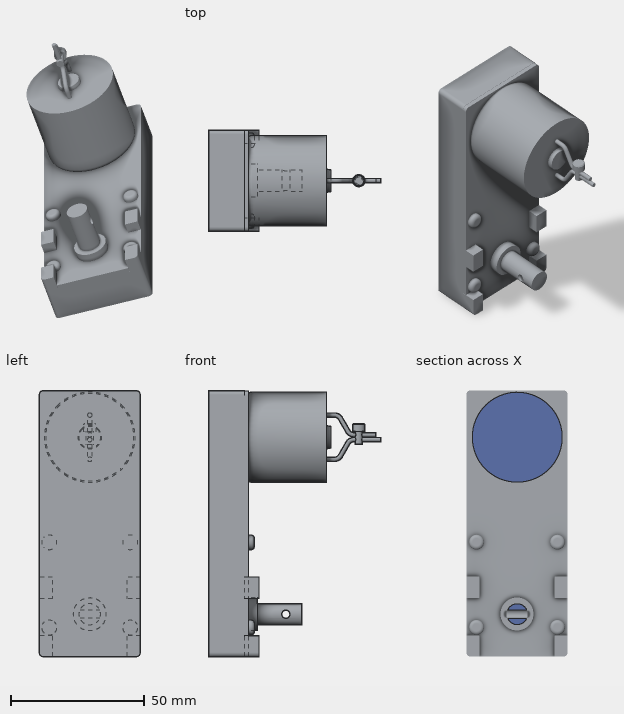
import cadquery as cq
import math

height = 100.0
width = 38.0
body_depth = 13.4
lid_thickness = 1.6
corner_radius = 1.6
lid_top_step = 0.1
lid_face = body_depth + lid_thickness

tab_reach = 19.0
tab_height = 8.0
tab_width = 5.0
tab_bottoms = (0.0, 22.0)
notch_gap = 0.05

screw_radius = 2.8
screw_rim = 0.9
screw_rounding = 1.3
screw_y = 15.2
screw_heights = (11.0, 43.0)

shaft_z = 16.0
shaft_radius = 4.0
shaft_end = 35.0
collar_radius = 6.2
collar_end = 18.3
cross_hole_radius = 1.5
cross_hole_x = 29.0

motor_z = 82.5
motor_radius = 17.0
motor_rounding = 2.0
motor_straight_start = 16.3
motor_end = 44.3
boss_base_radius = 4.4
boss_tip_radius = 4.1
boss_length = 1.7

wire_radius = 0.85
wire_offset = 8.3
wire_pair_offset = 0.9
wire_first_bend_x = 47.3
wire_bend_radius = 2.6
wire_slope = math.radians(60)
upper_wire_end = 62.8
lower_wire_end = 64.7

clip_x = 56.4
clip_radius = 1.4
clip_bottom = 79.8
clip_head_radius = 2.3
clip_head_bottom = 84.7
clip_head_top = 87.7
clip_head_chamfer = 0.4


def x_cylinder(radius, start, end, y, z):
    """Cylinder along X between two X positions."""
    return cq.Workplane("YZ", origin=(start, y, z)).circle(radius).extrude(end - start)


def rounded_block(start, end, top):
    """Full-width block with its four X-parallel edges rounded."""
    block = cq.Workplane("XY").box(end - start, width, top, centered=(False, True, False))
    return block.edges("|X").fillet(corner_radius).translate((start, 0, 0))


def make_tab(side, bottom, gap=0.0):
    """Tab at one side wall; a gap widens it into the notch around it."""
    tab = cq.Workplane("XY").box(
        tab_reach - body_depth, tab_width + gap, tab_height + 2 * gap, centered=(False, True, False)
    )
    center_y = side * (width - tab_width - gap) / 2
    return tab.translate((body_depth, center_y, bottom - gap))


def make_housing():
    body = rounded_block(0, body_depth, height)
    lid = rounded_block(body_depth, lid_face, height - lid_top_step)
    tabs = cq.Workplane("XY")
    for side in (-1, 1):
        for bottom in tab_bottoms:
            lid = lid.cut(make_tab(side, bottom, notch_gap))
            tabs = tabs.add(make_tab(side, bottom))
    outline = rounded_block(0, tab_reach, height)
    return body.union(lid).union(tabs.combine().intersect(outline))


def make_screw(y, z):
    """Screw head: a short straight rim with a rounded top edge."""
    head_top = lid_face + screw_rim + screw_rounding
    head = x_cylinder(screw_radius, lid_face, head_top, y, z)
    return head.faces(">X").edges().fillet(screw_rounding)


def make_shaft():
    collar = x_cylinder(collar_radius, lid_face, collar_end, 0, shaft_z)
    shaft = x_cylinder(shaft_radius, lid_face, shaft_end, 0, shaft_z)
    cross_hole = (
        cq.Workplane("XZ", origin=(cross_hole_x, 0, shaft_z))
        .circle(cross_hole_radius)
        .extrude(shaft_radius, both=True)
    )
    return collar.union(shaft).cut(cross_hole)


def make_motor():
    can = x_cylinder(motor_radius, motor_straight_start - motor_rounding, motor_end, 0, motor_z)
    can = can.faces("<X").edges().fillet(motor_rounding)
    boss_taper = math.degrees(math.atan((boss_base_radius - boss_tip_radius) / boss_length))
    boss = (
        cq.Workplane("YZ", origin=(motor_end, 0, motor_z))
        .circle(boss_base_radius)
        .extrude(boss_length, taper=boss_taper)
    )
    return can.union(boss)


def make_wire(side, end):
    """Wire above (side 1) or below (side -1) the motor axis, bent inward and straight again."""
    bend_dx = wire_bend_radius * math.sin(wire_slope)
    bend_dz = wire_bend_radius * (1 - math.cos(wire_slope))
    half_dx = wire_bend_radius * math.sin(wire_slope / 2)
    half_dz = wire_bend_radius * (1 - math.cos(wire_slope / 2))
    slant_dz = wire_offset - wire_pair_offset - 2 * bend_dz
    slant_start_x = wire_first_bend_x + bend_dx
    slant_end_x = slant_start_x + slant_dz / math.tan(wire_slope)
    last_bend_x = slant_end_x + bend_dx

    def at(x, offset):
        return (x, motor_z + side * offset)

    path = (
        cq.Workplane("XZ")
        .moveTo(*at(motor_end, wire_offset))
        .lineTo(*at(wire_first_bend_x, wire_offset))
        .threePointArc(
            at(wire_first_bend_x + half_dx, wire_offset - half_dz),
            at(slant_start_x, wire_offset - bend_dz),
        )
        .lineTo(*at(slant_end_x, wire_pair_offset + bend_dz))
        .threePointArc(
            at(last_bend_x - half_dx, wire_pair_offset + half_dz),
            at(last_bend_x, wire_pair_offset),
        )
        .lineTo(*at(end, wire_pair_offset))
    )
    start_z = motor_z + side * wire_offset
    return cq.Workplane("YZ", origin=(motor_end, 0, start_z)).circle(wire_radius).sweep(path)


def make_clip():
    def z_cylinder(radius, bottom, top):
        return cq.Workplane("XY", origin=(clip_x, 0, bottom)).circle(radius).extrude(top - bottom)

    stem = z_cylinder(clip_radius, clip_bottom, clip_head_bottom)
    head = z_cylinder(clip_head_radius, clip_head_bottom, clip_head_top)
    return stem.union(head.faces(">Z").edges().chamfer(clip_head_chamfer))


result = make_housing().union(make_shaft()).union(make_motor())
for screw_side in (-1, 1):
    for screw_z in screw_heights:
        result = result.union(make_screw(screw_side * screw_y, screw_z))
result = result.union(make_wire(1, upper_wire_end))
result = result.union(make_wire(-1, lower_wire_end))
result = result.union(make_clip())